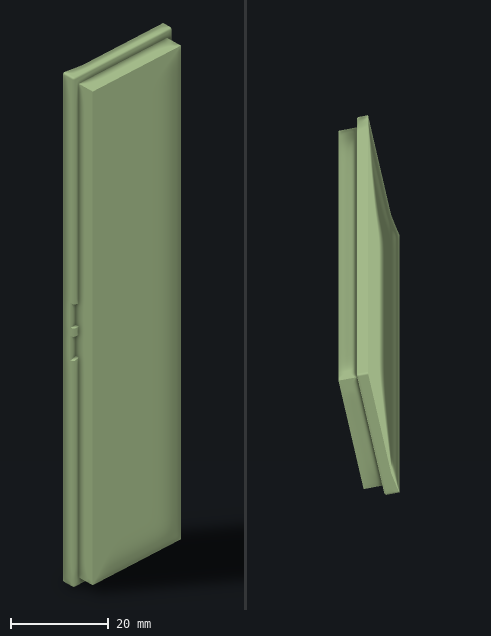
import cadquery as cq

height = 124.0
width = 28.0
total_depth = 7.2
plate_back = 3.1
corner_radius = 0.5
back_rim_radius = 0.5

lip_rise = 0.7
lip_width = 4.8
lip_radius = 99.2

block_side_margin = 1.5
block_end_margin = 2.0
block_length = height - 2 * block_end_margin

notch_length = 6.0
notch_gap = 2.0
notch_depth = 0.9
notch_end_lean = 0.4


def make_plate():
    """Plate with a hollow-curved lip, rounded corners and a rounded back rim."""
    plate = (
        cq.Workplane("XY")
        .lineTo(plate_back, 0)
        .lineTo(plate_back, width)
        .lineTo(lip_rise, width)
        .lineTo(lip_rise, lip_width)
        .radiusArc((0, 0), lip_radius)
        .close()
        .extrude(height)
    )
    plate = plate.faces("<Y or >Y").edges("<Z or >Z").fillet(corner_radius)
    return plate.faces(">X").edges().fillet(back_rim_radius)


def make_block():
    """Plain block joined to the back of the plate."""
    block_depth = total_depth - plate_back
    block_width = width - 2 * block_side_margin
    block = cq.Workplane("XY").box(block_depth, block_width, block_length, centered=False)
    return block.translate((plate_back, block_side_margin, block_end_margin))


def make_upper_notch():
    """Pry notch above mid-height, reaching in from the -Y side as far as the block."""
    inner_end = (height + notch_gap) / 2
    outer_end = inner_end + notch_length
    return (
        cq.Workplane("YZ", origin=(plate_back - notch_depth, 0, 0))
        .moveTo(0, inner_end)
        .lineTo(block_side_margin, inner_end)
        .lineTo(block_side_margin, outer_end - notch_end_lean)
        .lineTo(0, outer_end)
        .close()
        .extrude(notch_depth)
    )


upper_notch = make_upper_notch()
lower_notch = upper_notch.mirror("XY", (0, 0, height / 2))

result = make_plate().cut(upper_notch).cut(lower_notch).union(make_block())